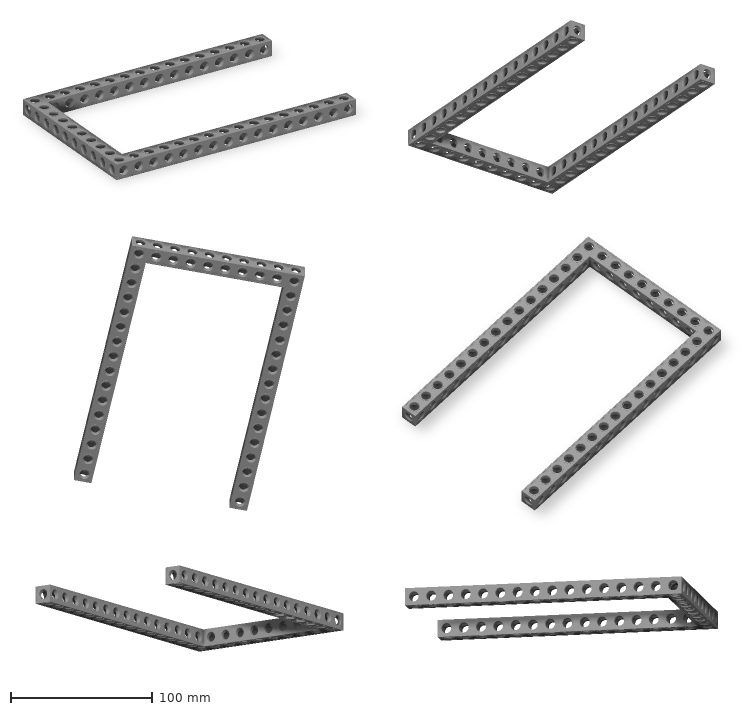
import cadquery as cq

pitch = 12.5
base_holes = 10
leg_holes = 16

bore_diameter = 7.0
collar_diameter = 9.2
mouth_chamfer = 0.25

rim_width = 1.0
recess_depth = 0.2

edge_chamfer = 0.15

width = base_holes * pitch
length = leg_holes * pitch
height = pitch
mid_height = height / 2

column_x = [(i + 0.5) * pitch for i in range(base_holes)]
row_y = [(j + 0.5) * pitch for j in range(leg_holes)]
leg_columns = (column_x[0], column_x[-1])
base_row = row_y[0]
vertical_centres = [(x, base_row) for x in column_x]
vertical_centres += [(x, y) for x in leg_columns for y in row_y[1:]]


def u_plate(bottom, thickness, inset=0.0):
    """U-shaped plate open toward +Y, its outline drawn in by the inset."""
    near, far = inset, width - inset
    inner_near, inner_far = pitch - inset, width - pitch + inset
    inner_base = pitch - inset
    tip = length - inset
    outline = [
        (near, near),
        (far, near),
        (far, tip),
        (inner_far, tip),
        (inner_far, inner_base),
        (inner_near, inner_base),
        (inner_near, tip),
        (near, tip),
    ]
    return cq.Workplane("XY", origin=(0, 0, bottom)).polyline(outline).close().extrude(thickness)


def face_recess(bottom):
    """Recess inside the rim, leaving the collars around the vertical holes."""
    collars = (
        cq.Workplane("XY", origin=(0, 0, bottom))
        .pushPoints(vertical_centres)
        .circle(collar_diameter / 2)
        .extrude(recess_depth)
    )
    return u_plate(bottom, recess_depth, rim_width).cut(collars)


def bore(start, direction, depth):
    """Through-hole cutter that widens by the mouth chamfer at both ends."""
    radius = bore_diameter / 2
    mouth_radius = radius + mouth_chamfer
    axis = cq.Vector(*direction)
    entry = cq.Vector(*start)
    far_end = entry + axis * depth
    shaft = cq.Solid.makeCylinder(radius, depth, entry, axis)
    entry_cone = cq.Solid.makeCone(mouth_radius, radius, mouth_chamfer, entry, axis)
    exit_cone = cq.Solid.makeCone(mouth_radius, radius, mouth_chamfer, far_end, axis * -1)
    return shaft.fuse(entry_cone, exit_cone)


def bores_along_z():
    """One hole through every grid position of the base and legs."""
    return [bore((x, y, 0), (0, 0, 1), height) for x, y in vertical_centres]


def bores_along_y():
    """Holes across the base, and one running the full length of each leg."""
    across_base = [bore((x, 0, mid_height), (0, 1, 0), pitch) for x in column_x[1:-1]]
    along_legs = [bore((x, 0, mid_height), (0, 1, 0), length) for x in leg_columns]
    return across_base + along_legs


def bores_along_x():
    """Holes across both legs, and one running the full width of the base."""
    across_legs = [
        bore((leg_side, y, mid_height), (1, 0, 0), pitch)
        for leg_side in (0, width - pitch)
        for y in row_y[1:]
    ]
    along_base = bore((0, base_row, mid_height), (1, 0, 0), width)
    return across_legs + [along_base]


frame = u_plate(0, height).faces("<Z or >Z").chamfer(edge_chamfer)
for recess_bottom in (0, height - recess_depth):
    frame = frame.cut(face_recess(recess_bottom))

for bores in (bores_along_z(), bores_along_y(), bores_along_x()):
    frame = frame.cut(cq.Workplane(obj=cq.Compound.makeCompound(bores)))

result = frame.solids()